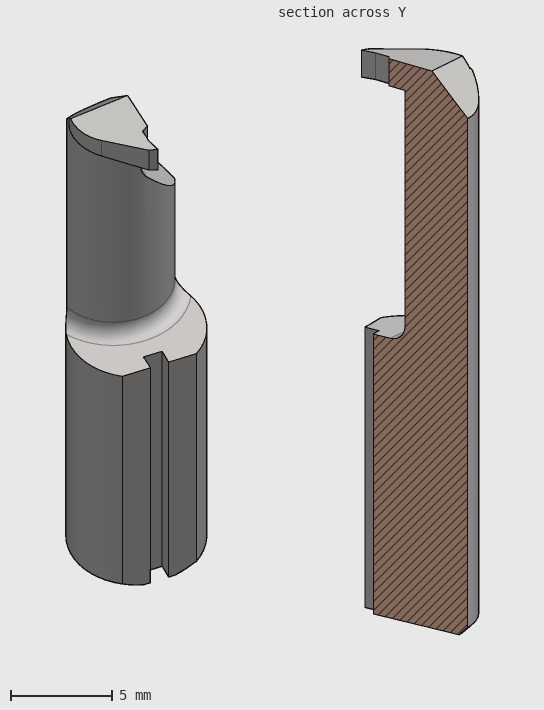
import cadquery as cq
import math

length = 30.0
shank_radius = 7.0 / 2
width_across_flat = 6.35
flat_x = width_across_flat - shank_radius
base_chamfer = 0.5
shoulder_z = 15.0

slot_width = 1.0
slot_floor_x = 2.05

neck_radius = 3.05
neck_right_x = 0.2
neck_axis_x = neck_right_x - neck_radius
flare_radius = 0.8

rake_y = 0.15
runout_corner_z = 25.9
runout_slope = 1.23
runout_fillet = 1.5

head_base_z = 27.3
head_left_x = -1.95
head_front_y = -3.0
tip_x = 2.8
tip_y = -0.05
tip_edge_x = 2.65
tip_edge_y = -0.48
rake_end_x = 1.05
groove_y = -0.2
groove_start_x = 1.25
groove_end_x = 2.05
nose_radius = 2.55
bevel_end_x = -1.4
bevel_left_z = 27.78
top_left_z = 29.85
tip_bottom_z = 28.53
underside_left_z = 28.4
relief_angle = 5.0
arm_overlap = 0.45

margin = 3.0


def make_shank():
    """Chamfered round bar with a flat and a slot along its +X side."""
    bar = cq.Workplane("XY").circle(shank_radius).extrude(shoulder_z)
    bar = bar.faces("<Z").chamfer(base_chamfer)
    flat = cq.Workplane("XY").box(margin, 4 * margin, shoulder_z, centered=(False, True, False))
    slot = cq.Workplane("XY").box(margin, slot_width, shoulder_z, centered=(False, True, False))
    bar = bar.cut(flat.translate((flat_x, 0, 0)))
    return bar.cut(slot.translate((slot_floor_x, 0, 0)))


def make_neck():
    """Flared post kept within the shank circle and cut back to the rake face."""
    flare_mid = flare_radius * (1 - math.sqrt(0.5))
    post = (
        cq.Workplane("XZ")
        .moveTo(0, shoulder_z)
        .lineTo(neck_radius + flare_radius, shoulder_z)
        .threePointArc(
            (neck_radius + flare_mid, shoulder_z + flare_mid),
            (neck_radius, shoulder_z + flare_radius),
        )
        .lineTo(neck_radius, length)
        .lineTo(0, length)
        .close()
        .revolve(360, (0, 0), (0, 1))
        .translate((neck_axis_x, 0, 0))
    )
    post = post.intersect(cq.Workplane("XY").circle(shank_radius).extrude(length))

    runout_end_y = shank_radius + margin
    runout_end_z = runout_corner_z - runout_slope * (runout_end_y - rake_y)
    runout = (
        cq.Workplane("YZ")
        .moveTo(rake_y, length + margin)
        .lineTo(rake_y, runout_corner_z)
        .lineTo(runout_end_y, runout_end_z)
        .lineTo(runout_end_y, length + margin)
        .close()
        .extrude(2 * shank_radius, both=True)
        .edges(cq.selectors.NearestToPointSelector((0, rake_y, runout_corner_z)))
        .fillet(runout_fillet)
    )
    return post.cut(runout)


def make_relief(left_x, bottom_left_z, bottom_right_z):
    """Block behind the rake face whose bevel, top and underside all lean inward."""
    right_x = tip_x + margin
    bevel_slope = (top_left_z - bevel_left_z) / (bevel_end_x + shank_radius)
    tip_top_z = length + (rake_y - tip_y) * math.tan(math.radians(relief_angle))
    top_slope = (tip_top_z - top_left_z) / (tip_x - bevel_end_x)
    return (
        cq.Workplane("XZ", origin=(0, rake_y, 0))
        .moveTo(left_x, bottom_left_z)
        .lineTo(right_x, bottom_right_z)
        .lineTo(right_x, tip_top_z + top_slope * margin)
        .lineTo(bevel_end_x, top_left_z)
        .lineTo(left_x, top_left_z - bevel_slope * (bevel_end_x - left_x))
        .close()
        .extrude(shank_radius + rake_y, taper=relief_angle)
    )


def make_arm():
    """Cutting arm: rake face, chip groove, pointed tip and a rounded 45 degree back."""
    nose_end_y = head_front_y + nose_radius * (1 - math.sqrt(0.5))
    nose_end_x = tip_edge_x - (tip_edge_y - nose_end_y)
    nose_center_x = nose_end_x - nose_radius * math.sqrt(0.5)
    nose_left_offset = nose_center_x - head_left_x
    nose_left_y = head_front_y + nose_radius - math.sqrt(nose_radius**2 - nose_left_offset**2)
    plan = (
        cq.Workplane("XY", origin=(0, 0, head_base_z))
        .moveTo(head_left_x, rake_y)
        .lineTo(rake_end_x, rake_y)
        .lineTo(groove_start_x, groove_y)
        .lineTo(groove_end_x, groove_y)
        .lineTo(tip_x, tip_y)
        .lineTo(tip_edge_x, tip_edge_y)
        .lineTo(nose_end_x, nose_end_y)
        .threePointArc(
            (nose_center_x, head_front_y),
            (head_left_x, nose_left_y),
        )
        .close()
        .extrude(length - head_base_z)
    )
    underside_slope = (tip_bottom_z - underside_left_z) / (tip_x - neck_right_x)
    relief_left_x = head_left_x - arm_overlap
    relief = make_relief(
        relief_left_x,
        underside_left_z - underside_slope * (neck_right_x - relief_left_x),
        tip_bottom_z + underside_slope * margin,
    )
    return plan.intersect(relief)


shank = make_shank()
neck = make_neck()
neck_top = cq.Workplane("XY", origin=(0, 0, head_base_z)).rect(6 * margin, 6 * margin).extrude(margin)
bevelled_block = make_relief(-shank_radius - margin, shoulder_z, shoulder_z)
neck_end = neck.intersect(neck_top).intersect(bevelled_block)
result = shank.union(neck.cut(neck_top)).union(neck_end).union(make_arm())